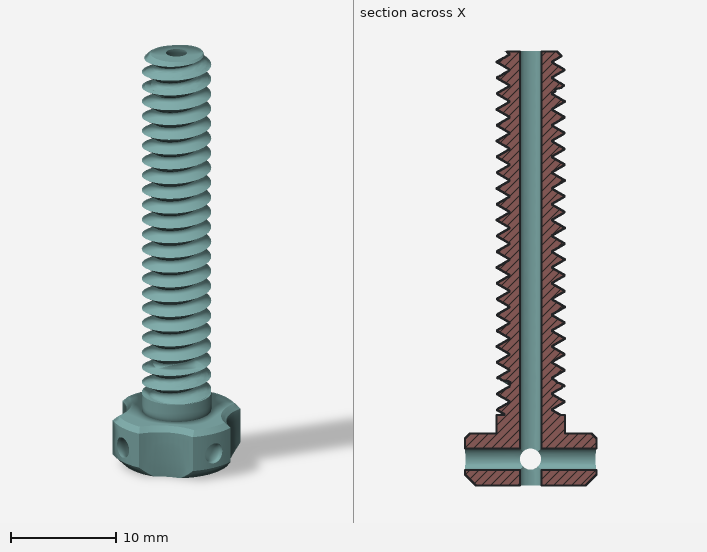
import cadquery as cq
import math

total_height = 41.25
hole_diameter = 2.0

head_diameter = 12.5
head_height = 5.0
top_chamfer = 0.5
bottom_chamfer = 1.05
flute_count = 4
flute_radius = 4.5
flute_distance = 0.75 * head_diameter

collar_height = 1.75
thread_diameter = 6.6
thread_pitch = 1.5
thread_angle = 60.0
core_radius = 2.05
tip_radius = 2.5
first_crest_height = 0.09
ridge_embed = 0.03
tip_cone_margin = 1.0

head_radius = head_diameter / 2
thread_radius = thread_diameter / 2
collar_top = head_height + collar_height


def cylinder(radius, bottom, top):
    return cq.Workplane("XY").workplane(offset=bottom).circle(radius).extrude(top - bottom)


def make_head():
    """Round head with concave flutes on the diagonals and chamfered ends."""
    head = cylinder(head_radius, 0, head_height)
    flutes = (
        cq.Workplane("XY")
        .polarArray(flute_distance, 180 / flute_count, 360, flute_count)
        .circle(flute_radius)
        .extrude(head_height)
    )
    head = head.cut(flutes).faces(">Z").chamfer(top_chamfer)

    cone_limit = (
        cq.Workplane("XZ")
        .moveTo(0, 0)
        .lineTo(head_radius - bottom_chamfer, 0)
        .lineTo(head_radius, bottom_chamfer)
        .lineTo(head_radius, head_height)
        .lineTo(0, head_height)
        .close()
        .revolve(360, (0, 0), (0, 1))
    )
    return head.intersect(cone_limit)


def helix_edge(start, height, radius):
    """Right-hand helix about Z that starts on the +X side."""
    return cq.Wire.makeHelix(thread_pitch, height, radius, cq.Vector(0, 0, start)).Edges()[0]


def make_ridge(start, turns):
    """Helical bar of triangular section: crest outside, base just inside the core surface."""
    base_radius = core_radius - ridge_embed
    half_base = (thread_radius - base_radius) * math.tan(math.radians(thread_angle / 2))
    height = turns * thread_pitch

    crest = helix_edge(start, height, thread_radius)
    upper_base = helix_edge(start + half_base, height, base_radius)
    lower_base = helix_edge(start - half_base, height, base_radius)
    sides = [
        cq.Face.makeRuledSurface(crest, upper_base),
        cq.Face.makeRuledSurface(upper_base, lower_base),
        cq.Face.makeRuledSurface(lower_base, crest),
    ]

    first_section = cq.Wire.makePolygon(
        [
            cq.Vector(thread_radius, 0, start),
            cq.Vector(base_radius, 0, start + half_base),
            cq.Vector(base_radius, 0, start - half_base),
        ],
        close=True,
    )
    first_end = cq.Face.makeFromWires(first_section)
    last_end = first_end.translate(cq.Vector(0, 0, height))
    shell = cq.Shell.makeShell([*sides, first_end, last_end])
    return cq.Workplane(obj=cq.Solid.makeSolid(shell))


def make_thread():
    """Right-hand sharp V thread, trimmed flat at the bottom and coned at the tip."""
    ridge_start = collar_top + first_crest_height - thread_pitch
    ridge_turns = math.ceil((total_height - ridge_start) / thread_pitch) + 1
    core_top = total_height + thread_pitch
    thread = cylinder(core_radius, head_height, core_top).union(make_ridge(ridge_start, ridge_turns))

    envelope_radius = thread_radius + tip_cone_margin
    tip_cone_start = total_height - (envelope_radius - tip_radius)
    envelope = (
        cq.Workplane("XZ")
        .moveTo(0, collar_top)
        .lineTo(envelope_radius, collar_top)
        .lineTo(envelope_radius, tip_cone_start)
        .lineTo(tip_radius, total_height)
        .lineTo(0, total_height)
        .close()
        .revolve(360, (0, 0), (0, 1))
    )
    return thread.intersect(envelope)


def make_holes():
    """One hole along the axis and two through the head, one along X and one along Y."""
    radius = hole_diameter / 2
    holes = cylinder(radius, 0, total_height)
    for plane in ("YZ", "XZ"):
        cross_hole = (
            cq.Workplane(plane)
            .center(0, head_height / 2)
            .circle(radius)
            .extrude(head_radius, both=True)
        )
        holes = holes.union(cross_hole)
    return holes


collar = cylinder(thread_radius, head_height, collar_top)
body = make_head().union(collar).union(make_thread())
result = body.cut(make_holes(), clean=False)